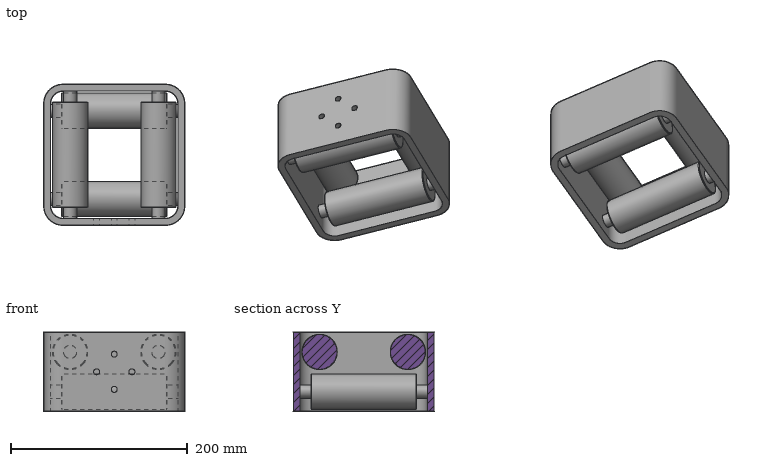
import cadquery as cq

frame_side = 160
frame_height = 90.0
wall = 8
outer_corner_radius = 22.0
inner_corner_radius = outer_corner_radius - wall
inner_side = frame_side - 2 * wall

roller_diameter = 40
roller_length = 120
roller_edge_chamfer = 1.0
roller_gap = 60.0
roller_offset = (roller_gap + roller_diameter) / 2
roller_level = frame_height / 4
shaft_diameter = 15.0
shaft_overlap = 0.8

hole_diameter = 6.7
hole_circle_diameter = 40
hole_count = 4


def rounded_block(side, corner_radius):
    return cq.Workplane("XY").box(side, side, frame_height).edges("|Z").fillet(corner_radius)


def make_frame():
    return rounded_block(frame_side, outer_corner_radius).cut(
        rounded_block(inner_side, inner_corner_radius)
    )


def centred_cylinder(diameter, length):
    """Cylinder centred on the origin, with the axis along Y."""
    return cq.Workplane("XZ", origin=(0, length / 2, 0)).circle(diameter / 2).extrude(length)


def make_roller():
    """Roller and shaft centred on the origin, with the axis along Y."""
    roller = centred_cylinder(roller_diameter, roller_length)
    roller = roller.faces("<Y or >Y").edges().chamfer(roller_edge_chamfer)
    shaft_length = inner_side + 2 * shaft_overlap
    return roller.union(centred_cylinder(shaft_diameter, shaft_length))


def make_mounting_holes():
    return (
        cq.Workplane("XZ", origin=(0, -inner_side / 2, 0))
        .polarArray(hole_circle_diameter / 2, 0, 360, hole_count)
        .circle(hole_diameter / 2)
        .extrude(wall)
    )


upper_roller = make_roller()
lower_roller = upper_roller.rotate((0, 0, 0), (0, 0, 1), 90)

result = make_frame().cut(make_mounting_holes())
for side in (-1, 1):
    result = result.union(upper_roller.translate((side * roller_offset, 0, roller_level)))
    result = result.union(lower_roller.translate((0, side * roller_offset, -roller_level)))